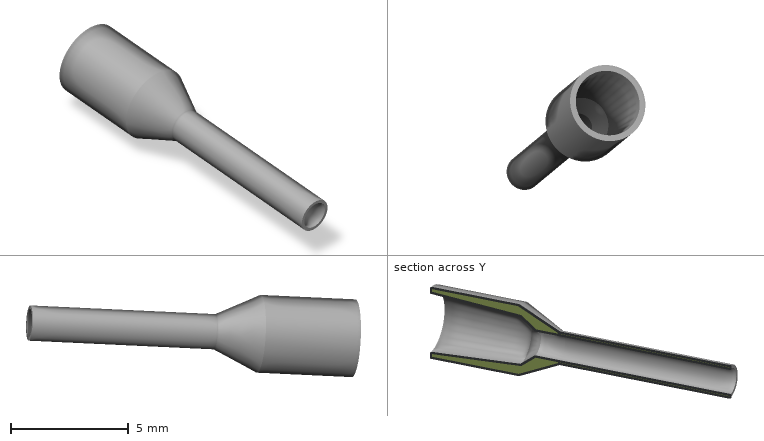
import cadquery as cq

TOTAL_LENGTH = 14.0
COLLAR_LENGTH = 6.0
BARREL_LENGTH = 4.1

COLLAR_DIAMETER = 3.3
TUBE_DIAMETER = 1.5
TUBE_BORE_DIAMETER = 1.2

ENTRY_DIAMETER = 2.8
FUNNEL_DIAMETER = 2.27
FUNNEL_START = 4.2
FUNNEL_LENGTH = 0.67


def revolve_about_x(profile):
    """Revolve (x, radius) points into a solid of revolution about the X axis."""
    return cq.Workplane("XZ").polyline(profile).close().revolve(360, (0, 0, 0), (1, 0, 0))


def make_collar():
    """Insulating collar: tapered outside, with a bore that funnels down to the tube."""
    return revolve_about_x([
        (0, ENTRY_DIAMETER / 2),
        (0, COLLAR_DIAMETER / 2),
        (BARREL_LENGTH, COLLAR_DIAMETER / 2),
        (COLLAR_LENGTH, TUBE_DIAMETER / 2),
        (COLLAR_LENGTH, TUBE_BORE_DIAMETER / 2),
        (FUNNEL_START + FUNNEL_LENGTH, TUBE_BORE_DIAMETER / 2),
        (FUNNEL_START, FUNNEL_DIAMETER / 2),
    ])


def make_tube():
    """Plain crimp tube that butts against the narrow end of the collar."""
    return revolve_about_x([
        (COLLAR_LENGTH, TUBE_BORE_DIAMETER / 2),
        (COLLAR_LENGTH, TUBE_DIAMETER / 2),
        (TOTAL_LENGTH, TUBE_DIAMETER / 2),
        (TOTAL_LENGTH, TUBE_BORE_DIAMETER / 2),
    ])


collar = make_collar()
tube = make_tube()

result = cq.Compound.makeCompound([collar.val(), tube.val()])